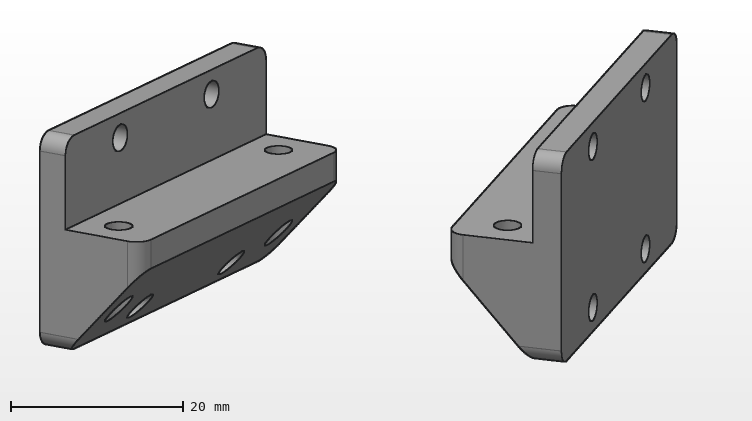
import cadquery as cq

depth = 14.0
length = 44.0
height = 26.0

wall_thickness = 3.5
shelf_height = 15.0
corner_radius = 2.0

hole_diameter = 3.2
plate_hole_spacing = 20.0
shelf_hole_spacing = 35.0
shelf_hole_x = 8.0


def bracket_body():
    """Upright plate with a shelf carried on a sloping wedge, centred on Y = 0."""
    profile = [
        (0, 0),
        (wall_thickness, 0),
        (depth, shelf_height - wall_thickness),
        (depth, shelf_height),
        (wall_thickness, shelf_height),
        (wall_thickness, height),
        (0, height),
    ]
    return cq.Workplane("XZ").polyline(profile).close().extrude(length / 2, both=True)


def plate_outline():
    """Block with rounded corners along X, which trims the plate and wedge."""
    return (
        cq.Workplane("XY")
        .box(depth, length, height, centered=(False, True, False))
        .edges("|X")
        .fillet(corner_radius)
    )


def plate_holes():
    """Four holes along X in a square pattern, through the plate and wedge."""
    return (
        cq.Workplane("YZ")
        .center(0, height / 2)
        .rect(plate_hole_spacing, plate_hole_spacing, forConstruction=True)
        .vertices()
        .circle(hole_diameter / 2)
        .extrude(depth)
    )


def shelf_holes():
    """Two vertical holes through the shelf and out of the sloping face."""
    half_spacing = shelf_hole_spacing / 2
    return (
        cq.Workplane("XY")
        .pushPoints([(shelf_hole_x, -half_spacing), (shelf_hole_x, half_spacing)])
        .circle(hole_diameter / 2)
        .extrude(height)
    )


body = bracket_body().edges("|Z and >X").fillet(corner_radius)
result = body.intersect(plate_outline()).cut(plate_holes()).cut(shelf_holes())